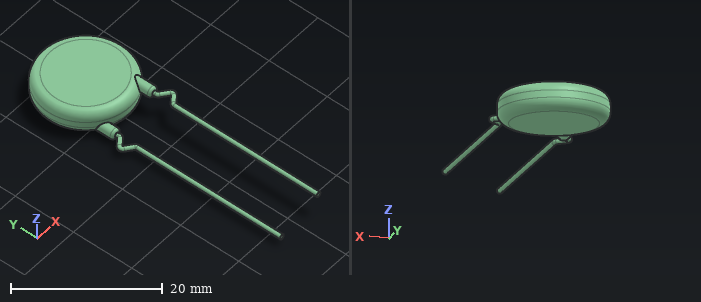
import cadquery as cq

disc_diameter = 15.0
disc_thickness = 4.0
rim_radius = 1.5

overall_length = 44.4
wire_tip = disc_diameter / 2 - overall_length
wire_diameter = 0.8
lead_pitch = 7.5
lead_height = 1.0
upper_lead_offset = 0.1

sleeve_diameter = 1.8
sleeve_start = -5.0
sleeve_end = -8.55
sleeve_rounding = 0.49

bend_radius = 0.45
kink_start = -9.1
kink_length = 2.75
kink_depth = 1.8


def lead_section_plane(x, z):
    """Plane across a lead at the hidden inner end of its sleeve, facing -Y."""
    return cq.Plane(origin=(x, sleeve_start, z), xDir=(1, 0, 0), normal=(0, -1, 0))


def make_disc():
    disc = cq.Workplane("XY").workplane(offset=-disc_thickness / 2)
    disc = disc.circle(disc_diameter / 2).extrude(disc_thickness)
    return disc.faces("|Z").edges().fillet(rim_radius)


def make_sleeve(x, z, end):
    section = cq.Workplane(lead_section_plane(x, z)).circle(sleeve_diameter / 2)
    sleeve = section.extrude(sleeve_start - end)
    return sleeve.faces("<Y").edges().fillet(sleeve_rounding)


def make_wire(x, z, start, outward):
    """Round wire kinked towards outward (+1 or -1 along X), the kink beginning at Y = start."""
    corners = [
        (x, sleeve_start, z),
        (x, start, z),
        (x + outward * kink_depth, start - kink_length / 2, z),
        (x, start - kink_length, z),
        (x, wire_tip, z),
    ]
    path = cq.Wire.makePolygon([cq.Vector(*corner) for corner in corners]).fillet(bend_radius)
    return cq.Workplane(lead_section_plane(x, z)).circle(wire_diameter / 2).sweep(path)


result = make_disc()
for side, offset in ((-1, 0), (1, upper_lead_offset)):
    lead_x = side * lead_pitch / 2
    lead_z = side * lead_height
    result = result.union(make_sleeve(lead_x, lead_z, sleeve_end - offset))
    result = result.union(make_wire(lead_x, lead_z, kink_start - offset, side))